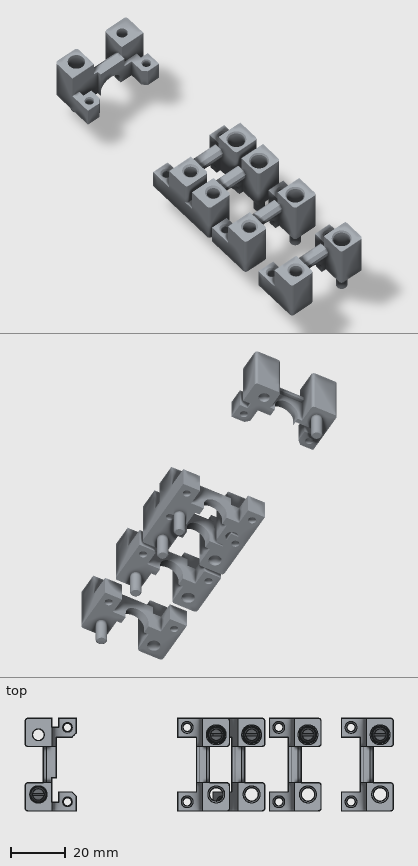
import cadquery as cq

total_length = 134.9
clamp_width = 34.0
half_width = clamp_width / 2
tall_height = 18.8
short_height = 18.0
foot_height = 8.2
foot_width = 7.0
tower_width = 10.4
tower_round = 1.1
foot_inner_y = half_width - foot_width
tower_inner_y = half_width - tower_width
tower_hole_y = half_width - 6.1
foot_hole_y = half_width - 3.4

rail_top = 12.7
rail_lip_bottom = 9.8
rail_bevel = 1.2
rail_round = 1.2
arch_radius = 4.7
arch_top = 7.0

bore_diameter = 6.3
head_diameter = 5.5
head_top = 9.5
head_height = 2.0
head_bevel = 0.7
slot_width = 0.8
slot_length = 4.3
slot_depth = 1.6
pin_diameter = 4.2
pin_length = 9.3
pin_bevel = 0.5

foot_hole_diameter = 3.0
countersink_depth = 0.7

row_length = 19.0
row_step_x = 9.2
row_neck_x = 6.9
row_wall_end_x = 10.3
row_rail_end_x = 11.7
row_hole_x = 14.2
row_foot_hole_x = 3.5
row_foot_sink_diameter = 4.3
row_bore_sink_diameter = 7.3
row_passage_diameter = 4.9
row_passage_sink_diameter = 6.2

last_clamp_x = total_length - row_length
nested_clamp_x = last_clamp_x - 47.1
first_clamp_x = nested_clamp_x - 13.0
third_clamp_x = last_clamp_x - 26.5

end_length = 18.8
end_step_x = 9.8
end_neck_x = 11.5
end_wall_start_x = 8.1
end_rail_start_x = 6.6
end_hole_x = 4.9
end_foot_hole_x = 15.5
end_foot_sink_diameter = 3.5
end_foot_bevel = 1.6
notch_end_x = 12.3
notch_length = 8.9
notch_margin = 3.2


def box(x_range, y_range, z_range):
    """Box between two X, two Y and two Z values."""
    size = [high - low for low, high in (x_range, y_range, z_range)]
    return cq.Workplane("XY").box(*size, centered=False).translate((x_range[0], y_range[0], z_range[0]))


def strip(side, inner_y):
    """Y range from inner_y to the outer face, on the +Y (side 1) or -Y (side -1) half."""
    return sorted((side * inner_y, side * half_width))


def disc(x, y, z_low, z_high, diameter):
    """Upright cylinder."""
    return cq.Workplane("XY", origin=(x, y, z_low)).circle(diameter / 2).extrude(z_high - z_low)


def countersink(x, y, z_top, top_diameter, bottom_diameter):
    """Cone that widens the mouth of a hole."""
    mouth = cq.Workplane("XY", origin=(x, y, z_top)).circle(top_diameter / 2)
    return mouth.workplane(offset=-countersink_depth).circle(bottom_diameter / 2).loft()


def tower(x_range, side, height, end_face):
    """Upright block with the two vertical edges of its end face rounded."""
    block = box(x_range, strip(side, tower_inner_y), (0, height))
    return block.faces(end_face).edges("|Z").fillet(tower_round)


def bridge(profile):
    """Wall between the towers, extruded along Y from its XZ profile."""
    sketch = cq.Workplane("XZ", origin=(0, tower_inner_y, 0)).polyline(profile).close()
    return sketch.extrude(2 * tower_inner_y)


def cut_arch(body):
    """Round-topped cable passage along X."""
    spring_z = arch_top - arch_radius
    arch = (
        cq.Workplane("YZ")
        .moveTo(-arch_radius, 0)
        .lineTo(-arch_radius, spring_z)
        .threePointArc((0, arch_top), (arch_radius, spring_z))
        .lineTo(arch_radius, 0)
        .close()
        .extrude(row_length)
    )
    return body.cut(arch)


def add_screw(body, x, y):
    """Bore the tall tower and leave a slotted screw head in it, with the pin below."""
    head_bottom = head_top - head_height
    head = disc(x, y, head_bottom, head_top, head_diameter).faces(">Z").chamfer(head_bevel)
    slot = box(
        (x - slot_length / 2, x + slot_length / 2),
        (y - slot_width / 2, y + slot_width / 2),
        (head_top - slot_depth, head_top),
    )
    pin = disc(x, y, -pin_length, 0, pin_diameter).faces("<Z").chamfer(pin_bevel)
    bored = body.cut(disc(x, y, head_bottom, tall_height, bore_diameter))
    return bored.union(head.cut(slot)).union(pin)


def drill_feet(body, x, sink_diameter):
    """Countersunk through hole in both feet."""
    for side in (1, -1):
        y = side * foot_hole_y
        body = body.cut(disc(x, y, 0, foot_height, foot_hole_diameter))
        body = body.cut(countersink(x, y, foot_height, sink_diameter, foot_hole_diameter))
    return body


def row_foot(side):
    """Solid foot of a row clamp, up to the tower face."""
    return box((0, row_step_x), strip(side, foot_inner_y), (0, foot_height))


def row_clamp():
    """Clamp with its feet at -X and the screw in the +Y tower."""
    bevel_start_x = row_rail_end_x - rail_bevel
    profile = [
        (row_neck_x, 0),
        (row_neck_x, rail_top),
        (bevel_start_x, rail_top),
        (row_rail_end_x, rail_top - rail_bevel),
        (row_rail_end_x, rail_lip_bottom),
        (row_wall_end_x, rail_lip_bottom),
        (row_wall_end_x, 0),
    ]
    body = bridge(profile).edges("<X and >Z").fillet(rail_round)
    for side, height in ((1, tall_height), (-1, short_height)):
        body = body.union(tower((row_step_x, row_length), side, height, ">X"))
        body = body.union(row_foot(side))
        body = body.union(box((row_neck_x, row_step_x), strip(side, tower_inner_y), (0, foot_height)))
    body = cut_arch(body)
    body = drill_feet(body, row_foot_hole_x, row_foot_sink_diameter)

    body = add_screw(body, row_hole_x, tower_hole_y)
    body = body.cut(countersink(row_hole_x, tower_hole_y, tall_height, row_bore_sink_diameter, bore_diameter))

    body = body.cut(disc(row_hole_x, -tower_hole_y, 0, short_height, row_passage_diameter))
    return body.cut(
        countersink(row_hole_x, -tower_hole_y, short_height, row_passage_sink_diameter, row_passage_diameter)
    )


def cut_foot_recesses(body, x):
    """Open the towers of a row clamp for the feet of a neighbour that starts at x."""
    for side in (1, -1):
        body = body.cut(row_foot(side).translate((x, 0, 0)))
    return body


def end_clamp():
    """Clamp with its feet at +X and the screw in the -Y tower."""
    bevel_end_x = end_rail_start_x + rail_bevel
    profile = [
        (end_neck_x, 0),
        (end_neck_x, rail_top),
        (bevel_end_x, rail_top),
        (end_rail_start_x, rail_top - rail_bevel),
        (end_rail_start_x, rail_lip_bottom),
        (end_wall_start_x, rail_lip_bottom),
        (end_wall_start_x, 0),
    ]
    body = bridge(profile)
    for side, height in ((1, short_height), (-1, tall_height)):
        foot = box((end_step_x, end_length), strip(side, foot_inner_y), (0, foot_height))
        inner_edge = "<Y" if side > 0 else ">Y"
        foot = foot.faces(">X").edges(inner_edge).chamfer(end_foot_bevel)
        body = body.union(tower((0, end_step_x), side, height, "<X"))
        body = body.union(foot)
        body = body.union(box((end_step_x, end_neck_x), strip(side, tower_inner_y), (0, foot_height)))
    body = cut_arch(body)
    body = drill_feet(body, end_foot_hole_x, end_foot_sink_diameter)

    for start_y in (notch_margin - half_width, half_width - notch_margin):
        body = body.cut(box((end_step_x, notch_end_x), (start_y, start_y + notch_length), (0, rail_top)))

    body = body.cut(disc(end_hole_x, tower_hole_y, 0, short_height, pin_diameter))
    return add_screw(body, end_hole_x, -tower_hole_y)


end_body = end_clamp()
plain_clamp = row_clamp()
row_bodies = [plain_clamp.translate((x, 0, 0)) for x in (nested_clamp_x, third_clamp_x, last_clamp_x)]
recessed_clamp = cut_foot_recesses(plain_clamp, nested_clamp_x - first_clamp_x)
recessed_body = recessed_clamp.translate((first_clamp_x, 0, 0))

result = cq.Compound.makeCompound(
    [end_body.val(), recessed_body.val(), *[body.val() for body in row_bodies]]
)